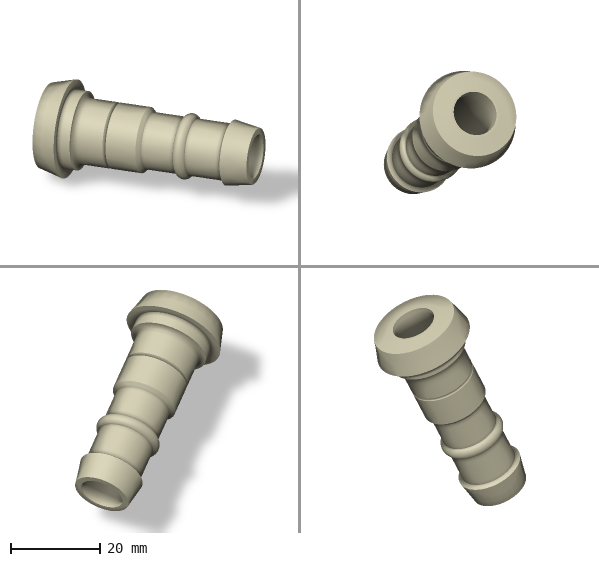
import cadquery as cq
import math

total_length = 50.0
bore_radius = 5.0
body_radius = 7.5
neck_radius = 6.5
joint_x = 16.9

lip_radius = 5.5
face_outer_radius = 9.75
face_rise = 0.35
flange_radius = 11.25
flange_end_x = 5.9
collar_radius = 9.0
collar_end_x = 8.9
collar_fillet = 1.0
joint_chamfer_length = 0.75
joint_root_radius = 6.25

shoulder_end_x = 25.0
bead_x = 33.9
bead_radius = 1.5
barb_length = 6.0
barb_taper_angle = 10.0
barb_back_angle = 60.0


def revolve_about_x(outline):
    """Turn a closed outline of (x, radius) points about the X axis."""
    return outline.close().revolve(360, (0, 0, 0), (1, 0, 0))


def make_flanged_nipple():
    fillet_end_x = collar_end_x + collar_fillet
    fillet_center_radius = body_radius + collar_fillet
    fillet_mid = (
        fillet_end_x - collar_fillet * math.cos(math.radians(45)),
        fillet_center_radius - collar_fillet * math.sin(math.radians(45)),
    )
    outline = (
        cq.Workplane("XY")
        .moveTo(0, bore_radius)
        .lineTo(0, lip_radius)
        .lineTo(face_rise, face_outer_radius)
        .lineTo(flange_end_x, flange_radius)
        .lineTo(flange_end_x, collar_radius)
        .lineTo(collar_end_x, collar_radius)
        .lineTo(collar_end_x, fillet_center_radius)
        .threePointArc(fillet_mid, (fillet_end_x, body_radius))
        .lineTo(joint_x - joint_chamfer_length, body_radius)
        .lineTo(joint_x, joint_root_radius)
        .lineTo(joint_x, bore_radius)
    )
    return revolve_about_x(outline)


def make_hose_tail():
    step = body_radius - neck_radius
    bead_center_radius = body_radius - bead_radius
    bead_half_width = math.sqrt(bead_radius**2 - (neck_radius - bead_center_radius) ** 2)
    barb_x = total_length - barb_length
    barb_root_x = barb_x - step / math.tan(math.radians(barb_back_angle))
    tip_radius = body_radius - barb_length * math.tan(math.radians(barb_taper_angle))
    outline = (
        cq.Workplane("XY")
        .moveTo(joint_x, bore_radius)
        .lineTo(joint_x, body_radius)
        .lineTo(shoulder_end_x - step, body_radius)
        .lineTo(shoulder_end_x, neck_radius)
        .lineTo(bead_x - bead_half_width, neck_radius)
        .threePointArc((bead_x, body_radius), (bead_x + bead_half_width, neck_radius))
        .lineTo(barb_root_x, neck_radius)
        .lineTo(barb_x, body_radius)
        .lineTo(total_length, tip_radius)
        .lineTo(total_length, bore_radius)
    )
    return revolve_about_x(outline)


flanged_nipple = make_flanged_nipple()
hose_tail = make_hose_tail()

result = cq.Compound.makeCompound([flanged_nipple.val(), hose_tail.val()])